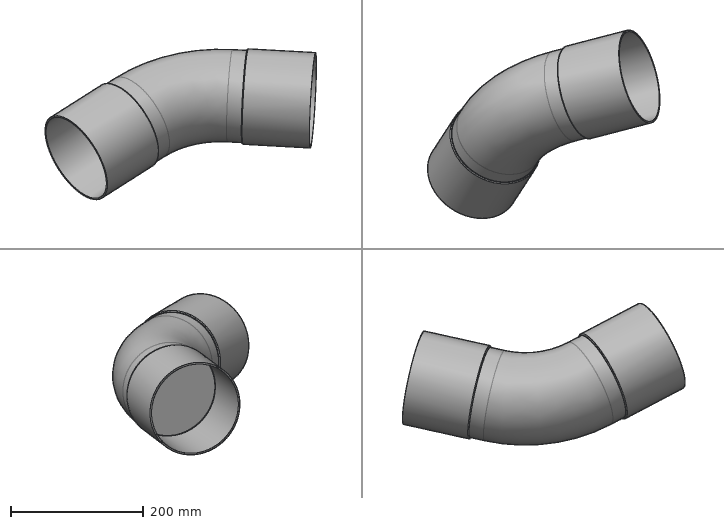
import cadquery as cq
import math

bend_angle = 45.0
bend_radius = 188.5
socket_diameter = 145.0
bore_diameter = 139.5
pipe_diameter = 140.0
socket_length = 103.5
collar_length = 22.5
shoulder_chamfer = 1.5

bend_turn = math.radians(bend_angle)
leg_length = socket_length + collar_length
far_face_center = (
    bend_radius * (1 - math.cos(bend_turn)) + leg_length * math.sin(bend_turn),
    leg_length + bend_radius * math.sin(bend_turn) + leg_length * math.cos(bend_turn),
    0,
)

near_mouth = cq.Plane(origin=(0, 0, 0), xDir=(1, 0, 0), normal=(0, 1, 0))
far_mouth = cq.Plane(
    origin=far_face_center,
    xDir=(math.cos(bend_turn), -math.sin(bend_turn), 0),
    normal=(-math.sin(bend_turn), -math.cos(bend_turn), 0),
)


def make_leg(mouth):
    """Straight end: a wide socket, chamfered at the shoulder, then a narrower collar."""
    socket = cq.Workplane(mouth).circle(socket_diameter / 2).extrude(socket_length)
    shoulder = cq.selectors.DirectionMinMaxSelector(mouth.zDir, True)
    socket = socket.faces(shoulder).chamfer(shoulder_chamfer)
    collar = cq.Workplane(mouth).circle(pipe_diameter / 2).extrude(leg_length)
    return socket.union(collar)


def make_socket_bore(mouth):
    """Blind cylindrical bore as deep as the socket."""
    return cq.Workplane(mouth).circle(bore_diameter / 2).extrude(socket_length)


bend = (
    cq.Workplane("XZ", origin=(0, leg_length, 0))
    .circle(pipe_diameter / 2)
    .revolve(bend_angle, (bend_radius, 4, 0), (bend_radius, 0, 0))
)

result = bend
for mouth in (near_mouth, far_mouth):
    result = result.union(make_leg(mouth))
for mouth in (near_mouth, far_mouth):
    result = result.cut(make_socket_bore(mouth))